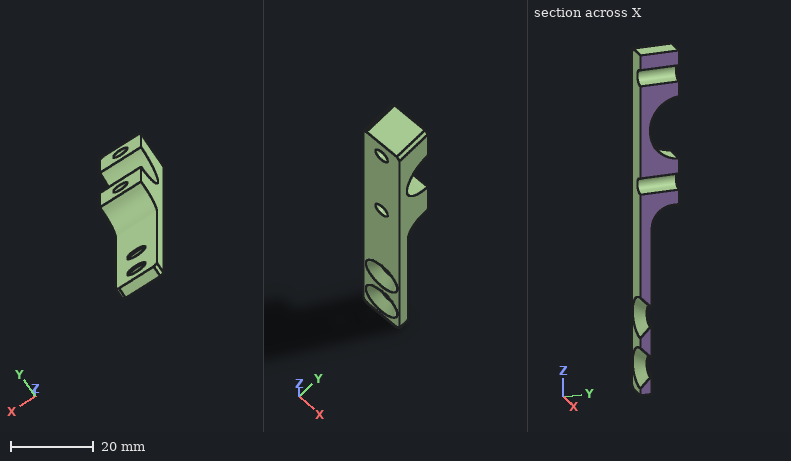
import cadquery as cq

width = 12.0
depth = 10.0
length = 88.0
corner_chamfer = 1.0

leg_thickness = 3.0
block_height = 39.9
blend_radius = 5.5

cradle_radius = 8.0
cradle_axis_offset = 0.5
cradle_from_top = 20.0

pin_diameter = 4.05
pin_from_top = 6.0
pin_spacing = 28.0

screw_diameter = 5.2
countersink_diameter = 10.4
countersink_angle = 90
screw_from_bottom = 7.0
screw_spacing = 13.0


def make_body():
    """Side profile extruded across the width, with chamfered end corners."""
    step_z = length - block_height
    body = (
        cq.Workplane("YZ")
        .moveTo(0, 0)
        .lineTo(leg_thickness, 0)
        .lineTo(leg_thickness, step_z - blend_radius)
        .radiusArc((leg_thickness + blend_radius, step_z), blend_radius)
        .lineTo(depth, step_z)
        .lineTo(depth, length)
        .lineTo(0, length)
        .close()
        .extrude(width / 2, both=True)
    )
    end_corners = body.faces("<Z or >Z").edges("|Y")
    return end_corners.chamfer(corner_chamfer)


def make_cradle():
    """Cylinder along X that removes the cradle."""
    return (
        cq.Workplane("YZ")
        .center(depth + cradle_axis_offset, length - cradle_from_top)
        .circle(cradle_radius)
        .extrude(width, both=True)
    )


def front_plane(part):
    """Workplane on the front face, with its origin at the bottom centre."""
    return part.faces("<Y").workplane(origin=(0, 0, 0))


result = make_body().cut(make_cradle())

upper_pin_z = length - pin_from_top
result = (
    front_plane(result)
    .pushPoints([(0, upper_pin_z), (0, upper_pin_z - pin_spacing)])
    .hole(pin_diameter)
)

result = (
    front_plane(result)
    .pushPoints([(0, screw_from_bottom), (0, screw_from_bottom + screw_spacing)])
    .cskHole(screw_diameter, countersink_diameter, countersink_angle)
)